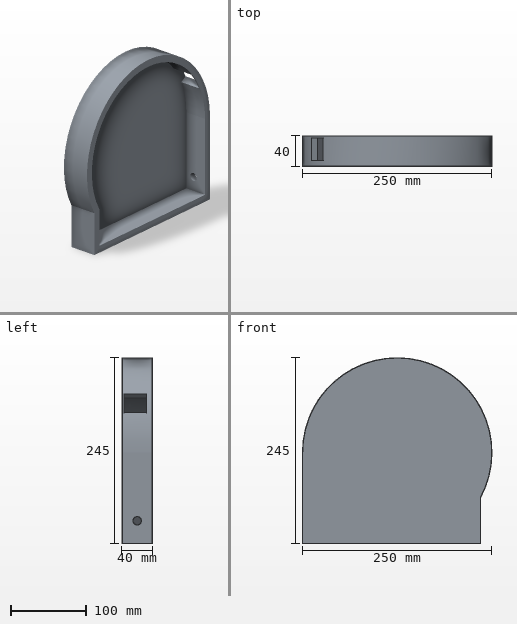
import cadquery as cq
import math

head_radius = 125.0
head_height = 120.0
foot_width = 235.0
depth = 40.0
wall = 10.0
front_plate = 7.5

window_width = 30.0
window_height = 29.0
window_tilt = 34.0
window_offset = 5.2

hole_diameter = 11.0
hole_height = 30.0


def outline_prism(inset, front, back):
    """Solid of the outline, moved inwards by inset, between two Y positions."""
    radius = head_radius - inset
    left = -radius
    right = foot_width - head_radius - inset
    bottom = inset - head_height
    shoulder = -math.sqrt(radius**2 - right**2)
    return (
        cq.Workplane("XZ", origin=(0, front, 0))
        .moveTo(left, bottom)
        .lineTo(right, bottom)
        .lineTo(right, shoulder)
        .threePointArc((0, radius), (left, 0))
        .close()
        .extrude(front - back)
    )


def window_cutter():
    """Tilted rectangular bar that passes right through the rim wall."""
    bar_length = 4 * wall
    return (
        cq.Workplane("XY")
        .box(bar_length, window_width, window_height, centered=(True, False, True))
        .translate((-head_radius, front_plate, -window_offset))
        .rotate((0, 0, 0), (0, 1, 0), window_tilt)
    )


def hole_cutter():
    """Cylinder along X through the left wall only."""
    return (
        cq.Workplane("YZ", origin=(-head_radius, depth / 2, hole_height - head_height))
        .circle(hole_diameter / 2)
        .extrude(wall)
    )


shell = outline_prism(0, 0, depth).cut(outline_prism(wall, front_plate, depth))
result = shell.cut(window_cutter()).cut(hole_cutter())